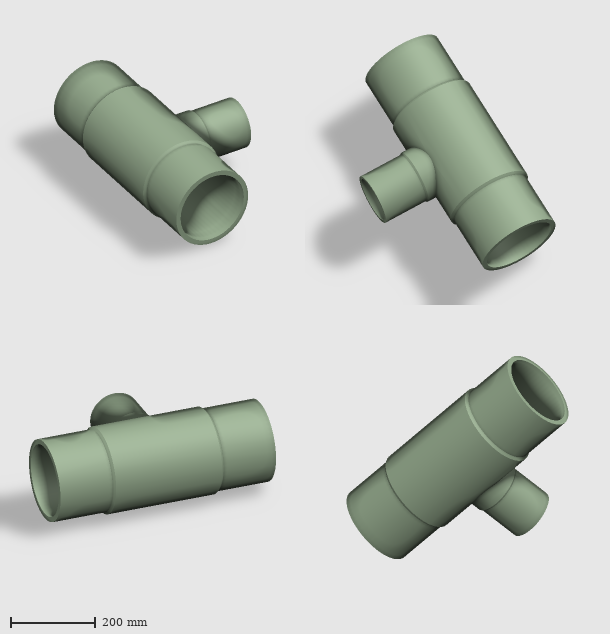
import cadquery as cq

run_length = 550.0
run_diameter = 200.0
run_bore = 176.0

sleeve_length = 284.0
sleeve_diameter = 212.0
sleeve_chamfer_length = 6.5

branch_reach = 240.5
branch_diameter = 125.0
wall_ratio = run_bore / run_diameter
branch_bore = branch_diameter * wall_ratio
collar_reach = 131.0
collar_diameter = 132.0
collar_chamfer_length = 5.0


def run_cylinder(diameter, length):
    """Cylinder along X, centred on the origin."""
    return cq.Workplane("YZ").circle(diameter / 2).extrude(length / 2, both=True)


def branch_cylinder(diameter, reach):
    """Cylinder from the run axis out along +Y."""
    return cq.Workplane("XZ").circle(diameter / 2).extrude(-reach)


def make_sleeve():
    """Sleeve whose ends taper down to the run pipe."""
    half_length = sleeve_length / 2
    shoulder = half_length - sleeve_chamfer_length
    profile = [
        (-half_length, 0),
        (-half_length, run_diameter / 2),
        (-shoulder, sleeve_diameter / 2),
        (shoulder, sleeve_diameter / 2),
        (half_length, run_diameter / 2),
        (half_length, 0),
    ]
    return cq.Workplane("XY").polyline(profile).close().revolve(360, (0, 0), (1, 0))


def make_collar():
    """Collar whose outer end tapers down to the branch pipe."""
    profile = [
        (0, 0),
        (collar_diameter / 2, 0),
        (collar_diameter / 2, collar_reach - collar_chamfer_length),
        (branch_diameter / 2, collar_reach),
        (0, collar_reach),
    ]
    return cq.Workplane("XY").polyline(profile).close().revolve(360, (0, 0), (0, 1))


outside = (
    run_cylinder(run_diameter, run_length)
    .union(make_sleeve())
    .union(make_collar())
    .union(branch_cylinder(branch_diameter, branch_reach))
)

result = outside.cut(run_cylinder(run_bore, run_length)).cut(branch_cylinder(branch_bore, branch_reach))